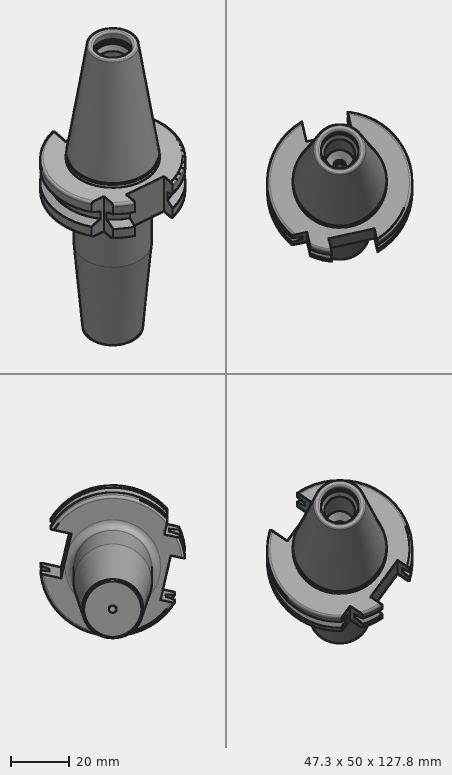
import cadquery as cq
import math

TOTAL_LENGTH = 127.8
GAUGE_HEIGHT = 80.0
TAPER_BOTTOM = 78.7
NECK_TOP = 78.0
NECK_BOTTOM = 77.6
FLANGE_TOP = 76.8
FLANGE_BOTTOM = 61.0
BODY_BOTTOM = 38.5

GAUGE_RADIUS = 15.8
TAPER_SLOPE = 7 / 48
SMALL_END_ROUND = 0.5
NECK_RADIUS = 15.6
NECK_FOOT_RADIUS = 16.2

FLANGE_RADIUS = 50.0 / 2
FLANGE_ROUND = 1.0
GROOVE_HEIGHT = 69.0
GROOVE_MOUTH = 6.6
GROOVE_FLOOR = 3.2
GROOVE_FLOOR_RADIUS = 22.1

BODY_RADIUS = 27.0 / 2
BODY_FILLET = 3.0
NOSE_RADIUS = 21.0 / 2
NOSE_CHAMFER = 0.6

SLOT_WIDTH = 16.1
DEEP_SLOT_OFFSET = 16.4
SHALLOW_SLOT_OFFSET = 18.7
NOTCH_OFFSET = 14.8

MOUTH_ROUND = 0.8
COUNTERBORE_RADIUS = 6.5
COUNTERBORE_DEPTH = 5.4
RELIEF_RADIUS = 7.0
RELIEF_START = 3.2
RELIEF_FULL = 4.5
PILOT_RADIUS = 5.2
PILOT_DEPTH = 24.3
CENTRE_CONE_ANGLE = 60
DRILL_POINT_ANGLE = 118
COOLANT_ENTRY_RADIUS = 2.2
COOLANT_ENTRY_DEPTH = 1.3
COOLANT_RADIUS = 1.3


def revolve_about_axis(outline):
    """Turn a closed half outline in the XZ plane a full circle about Z."""
    return outline.revolve(360, (0, 0, 0), (0, 1, 0))


def quarter_round_inset(radius):
    """Distance of a quarter round's midpoint from each of its two tangent lines."""
    return radius * (1 - math.sqrt(0.5))


def holder_body():
    """Revolve the outer outline of the holder about Z."""
    small_end_radius = GAUGE_RADIUS - TAPER_SLOPE * (TOTAL_LENGTH - GAUGE_HEIGHT)
    large_end_radius = GAUGE_RADIUS + TAPER_SLOPE * (GAUGE_HEIGHT - TAPER_BOTTOM)
    inset = quarter_round_inset(BODY_FILLET)
    outline = (
        cq.Workplane("XZ")
        .moveTo(0, 0)
        .lineTo(NOSE_RADIUS - NOSE_CHAMFER, 0)
        .lineTo(NOSE_RADIUS, NOSE_CHAMFER)
        .lineTo(BODY_RADIUS, BODY_BOTTOM)
        .lineTo(BODY_RADIUS, FLANGE_BOTTOM - BODY_FILLET)
        .threePointArc(
            (BODY_RADIUS + inset, FLANGE_BOTTOM - inset),
            (BODY_RADIUS + BODY_FILLET, FLANGE_BOTTOM),
        )
        .lineTo(FLANGE_RADIUS, FLANGE_BOTTOM)
        .lineTo(FLANGE_RADIUS, FLANGE_TOP)
        .lineTo(NECK_FOOT_RADIUS, FLANGE_TOP)
        .lineTo(NECK_RADIUS, NECK_BOTTOM)
        .lineTo(NECK_RADIUS, NECK_TOP)
        .lineTo(large_end_radius, TAPER_BOTTOM)
        .lineTo(small_end_radius, TOTAL_LENGTH)
        .lineTo(0, TOTAL_LENGTH)
        .close()
    )
    body = revolve_about_axis(outline)
    rim = cq.selectors.RadiusNthSelector(-1)
    body = body.edges("%CIRCLE").edges(rim).fillet(FLANGE_ROUND)
    return body.faces(">Z").edges().fillet(SMALL_END_ROUND)


def gripper_groove():
    """V-groove with a flat floor running around the flange."""
    outline = (
        cq.Workplane("XZ")
        .moveTo(GROOVE_FLOOR_RADIUS, GROOVE_HEIGHT - GROOVE_FLOOR / 2)
        .lineTo(FLANGE_RADIUS, GROOVE_HEIGHT - GROOVE_MOUTH / 2)
        .lineTo(FLANGE_RADIUS, GROOVE_HEIGHT + GROOVE_MOUTH / 2)
        .lineTo(GROOVE_FLOOR_RADIUS, GROOVE_HEIGHT + GROOVE_FLOOR / 2)
        .close()
    )
    return revolve_about_axis(outline)


def flange_cut(x_range, y_range):
    """Rectangular cutter spanning the height of the flange."""
    return (
        cq.Workplane("XY", origin=(0, 0, FLANGE_BOTTOM))
        .moveTo(x_range[0], y_range[0])
        .lineTo(x_range[1], y_range[0])
        .lineTo(x_range[1], y_range[1])
        .lineTo(x_range[0], y_range[1])
        .close()
        .extrude(FLANGE_TOP - FLANGE_BOTTOM)
    )


def stepped_bore():
    """Rounded, relieved counterbore, then a centring cone, blind pilot hole and through coolant hole."""
    inset = quarter_round_inset(MOUTH_ROUND)
    cone_length = (COUNTERBORE_RADIUS - PILOT_RADIUS) / math.tan(math.radians(CENTRE_CONE_ANGLE / 2))
    pilot_start = COUNTERBORE_DEPTH + cone_length
    point_length = (PILOT_RADIUS - COOLANT_ENTRY_RADIUS) / math.tan(math.radians(DRILL_POINT_ANGLE / 2))
    entry_top = TOTAL_LENGTH - PILOT_DEPTH - point_length
    entry_bottom = entry_top - COOLANT_ENTRY_DEPTH
    outline = (
        cq.Workplane("XZ")
        .moveTo(0, TOTAL_LENGTH)
        .lineTo(COUNTERBORE_RADIUS + MOUTH_ROUND, TOTAL_LENGTH)
        .threePointArc(
            (COUNTERBORE_RADIUS + inset, TOTAL_LENGTH - inset),
            (COUNTERBORE_RADIUS, TOTAL_LENGTH - MOUTH_ROUND),
        )
        .lineTo(COUNTERBORE_RADIUS, TOTAL_LENGTH - RELIEF_START)
        .lineTo(RELIEF_RADIUS, TOTAL_LENGTH - RELIEF_FULL)
        .lineTo(RELIEF_RADIUS, TOTAL_LENGTH - COUNTERBORE_DEPTH)
        .lineTo(COUNTERBORE_RADIUS, TOTAL_LENGTH - COUNTERBORE_DEPTH)
        .lineTo(PILOT_RADIUS, TOTAL_LENGTH - pilot_start)
        .lineTo(PILOT_RADIUS, TOTAL_LENGTH - PILOT_DEPTH)
        .lineTo(COOLANT_ENTRY_RADIUS, entry_top)
        .lineTo(COOLANT_ENTRY_RADIUS, entry_bottom)
        .lineTo(COOLANT_RADIUS, entry_bottom)
        .lineTo(COOLANT_RADIUS, 0)
        .lineTo(0, 0)
        .close()
    )
    return revolve_about_axis(outline)


slot_span = (-SLOT_WIDTH / 2, SLOT_WIDTH / 2)
deep_slot = flange_cut((-FLANGE_RADIUS, -DEEP_SLOT_OFFSET), slot_span)
shallow_slot = flange_cut((SHALLOW_SLOT_OFFSET, FLANGE_RADIUS), slot_span)
orientation_notch = flange_cut((NOTCH_OFFSET, FLANGE_RADIUS), (-FLANGE_RADIUS, -NOTCH_OFFSET))

result = holder_body()
for cutter in (gripper_groove(), deep_slot, shallow_slot, orientation_notch, stepped_bore()):
    result = result.cut(cutter)